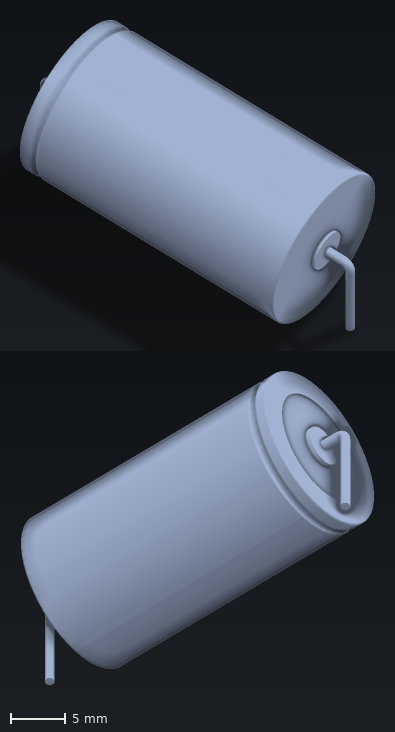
import cadquery as cq
import math

overall_length = 35.9
can_diameter = 16.0
can_length = 29.08
rim_radius = 0.2

groove_start = 1.1
groove_width = 1.05
shoulder_radius = 0.2
groove_depth = 0.2

recess_diameter = 11.2
recess_depth = 0.2

boss_diameter = 4.0
boss_height = 0.35

lead_diameter = 0.9
bend_radius = 0.9
lead_drop = 9.98

stripe_angle = 45.0
mark_length = 6.45
mark_width = 1.7
mark_pitch = 12.78

can_radius = can_diameter / 2
can_end = can_length / 2
lead_x = (overall_length - lead_diameter) / 2


def make_can():
    """Revolve the can half-profile, including the rims and the groove."""
    start = groove_start - can_end
    end = start + groove_width
    middle = (start + end) / 2
    shoulder_center = can_radius - shoulder_radius
    diagonal = shoulder_radius * math.sqrt(0.5)
    floor_start = start + diagonal
    floor_end = end - diagonal
    floor_edge = shoulder_center + diagonal
    rim_inset = rim_radius * (1 - math.sqrt(0.5))
    rim_height = can_radius - rim_radius
    half_shoulder_x = shoulder_radius * math.sin(math.radians(22.5))
    half_shoulder_z = shoulder_center + shoulder_radius * math.cos(math.radians(22.5))
    return (
        cq.Workplane("XZ")
        .moveTo(-can_end, 0)
        .lineTo(-can_end, rim_height)
        .threePointArc((-can_end + rim_inset, can_radius - rim_inset), (-can_end + rim_radius, can_radius))
        .lineTo(start, can_radius)
        .threePointArc((start + half_shoulder_x, half_shoulder_z), (floor_start, floor_edge))
        .threePointArc((middle, can_radius - groove_depth), (floor_end, floor_edge))
        .threePointArc((end - half_shoulder_x, half_shoulder_z), (end, can_radius))
        .lineTo(can_end - rim_radius, can_radius)
        .threePointArc((can_end - rim_inset, can_radius - rim_inset), (can_end, rim_height))
        .lineTo(can_end, 0)
        .close()
        .revolve(360, (0, 0, 0), (1, 0, 0))
        .rotate((0, 0, 0), (1, 0, 0), 180)
    )


def x_cylinder(diameter, start, length):
    """Cylinder along +X from the given X position."""
    return cq.Workplane("YZ").workplane(offset=start).circle(diameter / 2).extrude(length)


def imprint(body, region):
    """Outline a region on the body's surface without changing its shape."""
    inlay = body.intersect(region, clean=False)
    return body.cut(region, clean=False).union(inlay, clean=False)


def stripe_region():
    """Wedge around +Z that reaches inward to the end-face recess."""
    half_width = can_diameter * math.tan(math.radians(stripe_angle / 2))
    wedge = (
        cq.Workplane("YZ")
        .polyline([(0, 0), (half_width, can_diameter), (-half_width, can_diameter)])
        .close()
        .extrude(can_end, both=True)
    )
    return wedge.cut(x_cylinder(recess_diameter, -can_end, can_length))


def mark_region():
    """Two slot-shaped prisms through the top of the can, inside the stripe."""
    half_pitch = mark_pitch / 2
    return (
        cq.Workplane("XY")
        .workplane(offset=can_radius * 0.9)
        .pushPoints([(-half_pitch, 0), (half_pitch, 0)])
        .slot2D(mark_length, mark_width)
        .extrude(can_radius)
    )


def make_lead(side):
    """Bent round wire leaving the can on the given side (-1 or +1)."""
    inset = bend_radius * (1 - math.sqrt(0.5))
    path = (
        cq.Workplane("XZ")
        .moveTo(side * lead_x, -lead_drop)
        .lineTo(side * lead_x, -bend_radius)
        .threePointArc((side * (lead_x - inset), -inset), (side * (lead_x - bend_radius), 0))
        .lineTo(side * can_end, 0)
    )
    profile = cq.Workplane("XY", origin=(side * lead_x, 0, -lead_drop)).circle(lead_diameter / 2)
    return profile.sweep(path)


result = make_can().cut(x_cylinder(recess_diameter, -can_end, recess_depth))
result = imprint(result, stripe_region())
result = imprint(result, mark_region())

boss_length = boss_height + recess_depth
boss_starts = {-1: -can_end - boss_height, 1: can_end - recess_depth}
for side, boss_start in boss_starts.items():
    boss = x_cylinder(boss_diameter, boss_start, boss_length)
    result = result.union(boss, clean=False).union(make_lead(side), clean=False)